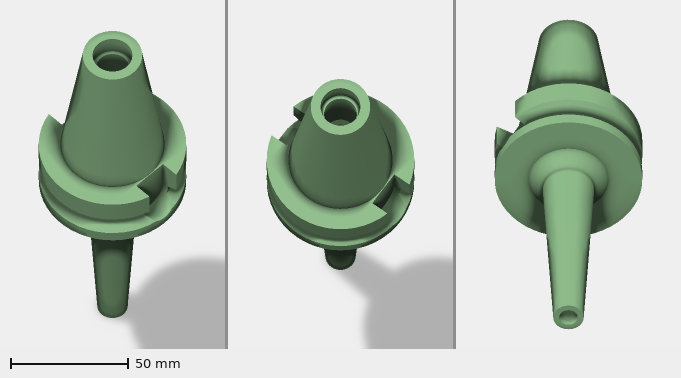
import cadquery as cq
import math


GAUGE_DIAMETER = 44.45
TAPER_LENGTH = 65.4
TAPER_RATIO = 7 / 24
TAPER_SMALL_DIAMETER = GAUGE_DIAMETER - TAPER_LENGTH * TAPER_RATIO

FLANGE_DIAMETER = 63.0
FLANGE_TOP_Z = -0.6
FLANGE_BOTTOM_Z = -27.0
GROOVE_DIAMETER = 53.0
GROOVE_CENTER_Z = -16.6
GROOVE_MOUTH_WIDTH = 10.0
GROOVE_FLANK_ANGLE = 30.0

SLOT_WIDTH = 16.1
SLOT_BOTTOM_Z = -23.0
SLOT_FLOOR_X = 22.5

TIP_Z = -120.0
TIP_DIAMETER = 13.0
NOSE_HALF_ANGLE = 3.0
NECK_HEIGHT = 6.0
NECK_HALF_ANGLE = 45.0

PILOT_DIAMETER = 17.0
PILOT_DEPTH = 9.0
STUD_DIAMETER = 14.0
STUD_DEPTH = 35.0
COOLANT_DIAMETER = 9.4
COOLANT_DEPTH = 150.0
SHANK_DIAMETER = 8.0


def make_body():
    """Revolve the outer profile about the Z axis."""
    gauge_radius = GAUGE_DIAMETER / 2
    flange_radius = FLANGE_DIAMETER / 2
    groove_radius = GROOVE_DIAMETER / 2
    flank_height = (flange_radius - groove_radius) * math.tan(math.radians(GROOVE_FLANK_ANGLE))
    mouth_top_z = GROOVE_CENTER_Z + GROOVE_MOUTH_WIDTH / 2
    mouth_bottom_z = GROOVE_CENTER_Z - GROOVE_MOUTH_WIDTH / 2
    neck_bottom_z = FLANGE_BOTTOM_Z - NECK_HEIGHT
    nose_length = neck_bottom_z - TIP_Z
    tip_radius = TIP_DIAMETER / 2
    nose_radius = tip_radius + nose_length * math.tan(math.radians(NOSE_HALF_ANGLE))
    neck_radius = nose_radius + NECK_HEIGHT * math.tan(math.radians(NECK_HALF_ANGLE))

    profile = [
        (0, TAPER_LENGTH),
        (TAPER_SMALL_DIAMETER / 2, TAPER_LENGTH),
        (gauge_radius, 0),
        (gauge_radius, FLANGE_TOP_Z),
        (flange_radius, FLANGE_TOP_Z),
        (flange_radius, mouth_top_z),
        (groove_radius, mouth_top_z - flank_height),
        (groove_radius, mouth_bottom_z + flank_height),
        (flange_radius, mouth_bottom_z),
        (flange_radius, FLANGE_BOTTOM_Z),
        (neck_radius, FLANGE_BOTTOM_Z),
        (nose_radius, neck_bottom_z),
        (tip_radius, TIP_Z),
        (0, TIP_Z),
    ]
    return cq.Workplane("YZ").polyline(profile).close().revolve(360, (0, 0, 0), (0, 1, 0))


def make_key_slot(side):
    """Round-ended slot cutter, open at the flange top; side is +1 or -1 along X."""
    half_width = SLOT_WIDTH / 2
    arc_center_z = SLOT_BOTTOM_Z + half_width
    return (
        cq.Workplane("YZ", origin=(side * SLOT_FLOOR_X, 0, 0))
        .moveTo(-half_width, 0)
        .lineTo(-half_width, arc_center_z)
        .threePointArc((0, SLOT_BOTTOM_Z), (half_width, arc_center_z))
        .lineTo(half_width, 0)
        .close()
        .extrude(side * FLANGE_DIAMETER / 2)
    )


def make_bore(diameter, depth):
    """Cylindrical cutter reaching down from the top face."""
    return cq.Workplane("XY", origin=(0, 0, TAPER_LENGTH)).circle(diameter / 2).extrude(-depth)


result = make_body()

for side in (-1, 1):
    result = result.cut(make_key_slot(side))

bore_steps = [
    (PILOT_DIAMETER, PILOT_DEPTH),
    (STUD_DIAMETER, STUD_DEPTH),
    (COOLANT_DIAMETER, COOLANT_DEPTH),
    (SHANK_DIAMETER, TAPER_LENGTH - TIP_Z),
]
for diameter, depth in bore_steps:
    result = result.cut(make_bore(diameter, depth))